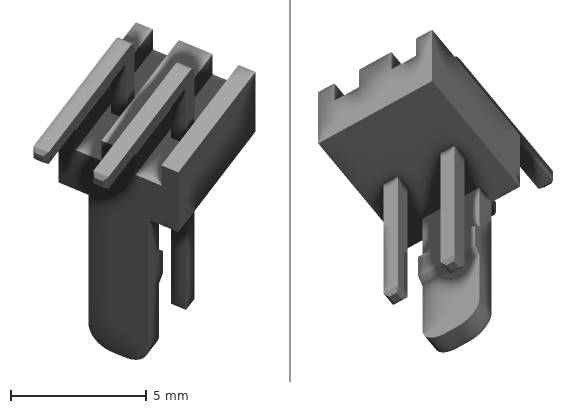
import cadquery as cq

TOTAL_HEIGHT = 13.9
TOTAL_DEPTH = 9.52
TOTAL_WIDTH = 5.07

half_width = TOTAL_WIDTH / 2
housing_depth = 5.8
housing_height = 3.25
housing_bottom = 8.03
housing_top = housing_bottom + housing_height
slot_width = 1.1
slot_depth = 1.1

tail_width = half_width / 2
tail_thickness = 0.8
tail_corner_radius = 1.0
bump_height = 0.28
bump_length = 1.78
bump_drop = 2.45

pin_size = 0.64
pin_center_x = half_width / 2
pin_back_y = housing_depth / 2
pin_front_y = housing_depth - TOTAL_DEPTH
pin_bottom = 1.0
pin_tip_chamfer = 0.15
inner_bend_radius = 0.22
outer_bend_radius = 0.36


def make_housing_block():
    """Block with a slot along Y in its top, around the pin."""
    block = cq.Workplane("XY").box(half_width, housing_depth, housing_height, centered=False)
    block = block.translate((0, 0, housing_bottom))
    slot = cq.Workplane("XY").box(slot_width, housing_depth, slot_depth, centered=False)
    slot = slot.translate((pin_center_x - slot_width / 2, 0, housing_top - slot_depth))
    return block.cut(slot)


def make_tail():
    """Flat tail with a bevelled bump on its back and a rounded outer bottom corner."""
    bump_top = housing_bottom - bump_drop
    bump_bottom = bump_top - bump_length
    bump_y = tail_thickness + bump_height
    side_profile = [
        (0, 0),
        (tail_thickness, 0),
        (tail_thickness, bump_bottom),
        (bump_y, bump_bottom + bump_height),
        (bump_y, bump_top - bump_height),
        (tail_thickness, bump_top),
        (tail_thickness, housing_bottom),
        (0, housing_bottom),
    ]
    tail = cq.Workplane("YZ").polyline(side_profile).close().extrude(tail_width)
    return tail.edges("|Y and >X and <Z").fillet(tail_corner_radius)


def make_pin():
    """Square pin rising through the housing and bent forward, with bevelled tips."""
    inner_y = pin_back_y - pin_size
    arm_bottom = TOTAL_HEIGHT - pin_size
    side_profile = [
        (pin_back_y, pin_bottom),
        (pin_back_y, TOTAL_HEIGHT),
        (pin_front_y, TOTAL_HEIGHT),
        (pin_front_y, arm_bottom),
        (inner_y, arm_bottom),
        (inner_y, pin_bottom),
    ]
    pin = cq.Workplane("YZ").polyline(side_profile).close().extrude(pin_size)
    pin = pin.translate((pin_center_x - pin_size / 2, 0, 0))
    pin = pin.edges("|X and >Y and >Z").fillet(outer_bend_radius)
    inner_corner = cq.NearestToPointSelector((pin_center_x, inner_y, arm_bottom))
    pin = pin.edges("|X").edges(inner_corner).fillet(inner_bend_radius)
    pin = pin.faces("<Z").chamfer(pin_tip_chamfer)
    return pin.faces("<Y").chamfer(pin_tip_chamfer)


def make_connector_half():
    """Right-hand half: housing block, tail and pin as one solid."""
    return make_housing_block().union(make_tail()).union(make_pin())


connector_halves = []
for mirrored in (False, True):
    half = make_connector_half()
    if mirrored:
        half = half.mirror("YZ")
    connector_halves.append(half.val())

result = cq.Compound.makeCompound(connector_halves)